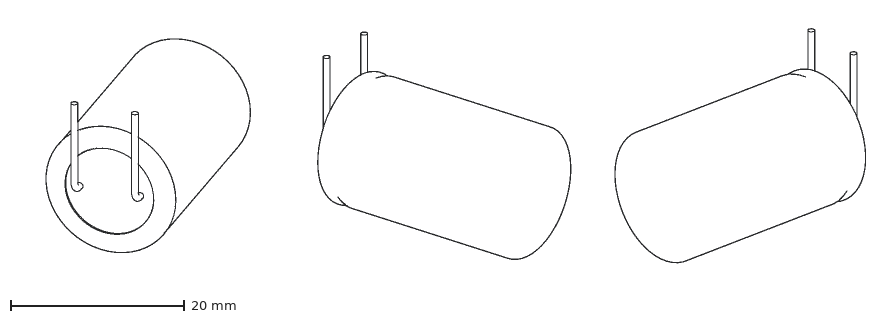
import cadquery as cq
import math

overall_length = 26.9

can_radius = 8.0
can_length = 25.0
rear_fillet = 0.48

lip_radius = 8.02
lip_round = 0.5
lip_end = 0.83

groove_start = 1.26
groove_end = 1.61
shoulder_middle = 2.07
shoulder_end = 2.4

recess_radius = 5.5
recess_depth = 0.25

lead_diameter = 0.8
lead_spacing = 7.5
lead_reach = overall_length - can_length
lead_height = 11.5
left_lead_drop = 0.08
lead_embed = 0.55


def make_can():
    """Revolve the can profile; local X is the radius and local Y the can axis."""
    lip_center = lip_radius - lip_round
    meeting_angle = math.asin((lip_end - lip_round) / lip_round)
    groove_round = (groove_start - lip_end) / math.sin(meeting_angle)
    lip_end_radius = lip_center + lip_round * math.cos(meeting_angle)
    groove_radius = lip_end_radius - groove_round * (1 - math.cos(meeting_angle))

    shoulder_share = (shoulder_middle - groove_end) / (shoulder_end - groove_end)
    shoulder_radius = groove_radius + shoulder_share * (can_radius - groove_radius)

    profile = (
        cq.Workplane("XY")
        .lineTo(lip_center, 0)
        .threePointArc((lip_radius, lip_round), (lip_end_radius, lip_end))
        .tangentArcPoint((groove_radius, groove_start), relative=False)
        .lineTo(groove_radius, groove_end)
        .tangentArcPoint((shoulder_radius, shoulder_middle), relative=False)
        .tangentArcPoint((can_radius, shoulder_end), relative=False)
        .lineTo(can_radius, can_length)
        .lineTo(0, can_length)
        .close()
    )
    can = profile.revolve(360, (0, 0, 0), (0, 1, 0))
    return can.faces(">Y").edges().fillet(rear_fillet)


def make_recess():
    """Disc removed from the front face."""
    return cq.Workplane("XZ").circle(recess_radius).extrude(-recess_depth)


def make_lead(x, z):
    """Wire leaving the face at (x, z), bent upward through a right angle."""
    bend_radius = lead_reach - lead_diameter / 2
    bend_end = (-bend_radius, z + bend_radius)
    path = (
        cq.Workplane("YZ", origin=(x, 0, 0))
        .moveTo(lead_embed, z)
        .lineTo(0, z)
        .tangentArcPoint(bend_end, relative=False)
        .lineTo(-bend_radius, z + lead_height)
    )
    section = cq.Workplane("XZ", origin=(x, lead_embed, z)).circle(lead_diameter / 2)
    return section.sweep(path)


left_lead = make_lead(-lead_spacing / 2, -left_lead_drop)
right_lead = make_lead(lead_spacing / 2, 0)

result = make_can().cut(make_recess()).union(left_lead).union(right_lead)